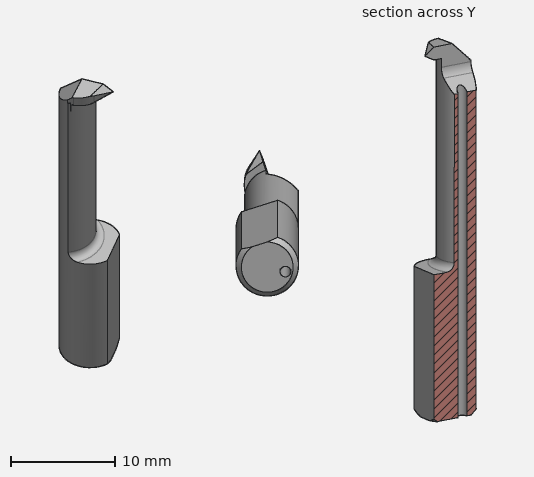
import cadquery as cq
import math

length = 37.0
shank_radius = 3.0
flat_x = 2.35
shank_length = 14.8
end_chamfer = 0.5

neck_radius = 2.95
neck_right_x = 0.45
neck_axis_x = neck_right_x - neck_radius
neck_fillet = 0.78
neck_top_z = 36.08

runout_back_y = 2.7
runout_back_z = 31.05
runout_angle = 50.0
runout_radius = 1.55

hole_x = -0.95
hole_y = 1.5
hole_radius = 0.5

slope_bottom_z = 34.95
slope_top_x = -0.8
nose_start_x = 1.35
tip_x = flat_x
tip_z = 36.25
head_bottom_z = 35.7
head_depth = 2.95
clearance_drop = 0.15
nose_setback = 1.07
nose_corner = (0.92, -1.63)
head_arc_middle = (-0.07, -2.33)
head_arc_end = (-0.8, -2.55)
head_edge_x = -1.4
tail_left_x = -1.45
tail_right_x = -1.07
tail_bottom_z = 35.0

cutter_size = 14.8
slope_ratio = (length - slope_bottom_z) / (slope_top_x + shank_radius)


def slope_x(z):
    """X of the sloped back of the head at height z."""
    return slope_top_x - (length - z) / slope_ratio


def make_shank():
    shank = cq.Workplane("XY").circle(shank_radius).extrude(shank_length)
    shank = shank.faces("<Z").chamfer(end_chamfer)
    flat = cq.Workplane("XY").box(cutter_size, cutter_size, shank_length, centered=(False, True, False))
    return shank.cut(flat.translate((flat_x, 0, 0)))


def make_neck_blank():
    root_radius = neck_radius + neck_fillet
    fillet_top_z = shank_length + neck_fillet
    fillet_middle = neck_fillet * (1 - math.sqrt(0.5))
    section = (
        cq.Workplane("XZ")
        .lineTo(root_radius, 0)
        .lineTo(root_radius, shank_length)
        .threePointArc(
            (neck_radius + fillet_middle, shank_length + fillet_middle),
            (neck_radius, fillet_top_z),
        )
        .lineTo(neck_radius, neck_top_z)
        .lineTo(0, neck_top_z)
        .close()
    )
    return section.revolve(360, (0, 0, 0), (0, 1, 0)).translate((neck_axis_x, 0, 0))


def make_runout_cutter():
    angle = math.radians(runout_angle)
    turn = math.pi / 2 - angle
    tangent_length = runout_radius * math.tan(turn / 2)
    corner_z = runout_back_z + runout_back_y * math.tan(angle)
    arc_start = (tangent_length * math.cos(angle), corner_z - tangent_length * math.sin(angle))
    arc_end = (0, corner_z + tangent_length)
    arc_middle = (
        runout_radius * (1 - math.cos(turn / 2)),
        arc_end[1] - runout_radius * math.sin(turn / 2),
    )
    outer_y = 2 * runout_back_y
    return (
        cq.Workplane("YZ")
        .moveTo(outer_y, runout_back_z)
        .lineTo(runout_back_y, runout_back_z)
        .lineTo(*arc_start)
        .threePointArc(arc_middle, arc_end)
        .lineTo(0, length)
        .lineTo(outer_y, length)
        .close()
        .extrude(cutter_size, both=True)
    )


def make_slope_cutter():
    low_z = slope_bottom_z - shank_radius
    return (
        cq.Workplane("XZ")
        .polyline([(slope_x(low_z), low_z), (slope_top_x, length), (slope_x(low_z), length)])
        .close()
        .extrude(cutter_size, both=True)
    )


def head_profile(drop, setback):
    """Side outline of the head, thinned by drop above and below, with the nose set back."""
    top_z = length - drop
    bottom_z = head_bottom_z + drop
    return [
        (-cutter_size / 2, bottom_z),
        (-cutter_size / 2, top_z),
        (nose_start_x - setback, top_z),
        (tip_x - setback, tip_z),
        (nose_start_x - setback, bottom_z),
    ]


def make_head_blank():
    """Head with its back left oversize, to be trimmed together with the neck."""
    edge_y = -math.sqrt(shank_radius**2 - head_edge_x**2)
    plan = (
        cq.Workplane("XY").workplane(offset=tail_bottom_z)
        .moveTo(-shank_radius, 0)
        .lineTo(tip_x, 0)
        .lineTo(*nose_corner)
        .threePointArc(head_arc_middle, head_arc_end)
        .lineTo(head_edge_x, edge_y)
        .lineTo(-shank_radius, -shank_radius)
        .close()
        .extrude(length - tail_bottom_z)
    )
    blade = (
        cq.Workplane("XZ")
        .polyline(head_profile(0, 0)).close()
        .workplane(offset=head_depth)
        .polyline(head_profile(clearance_drop, nose_setback)).close()
        .loft(ruled=True)
    )
    tail = (
        cq.Workplane("XY")
        .box(tail_right_x - tail_left_x, head_depth, neck_top_z - tail_bottom_z, centered=False)
        .translate((tail_left_x, -head_depth, tail_bottom_z))
    )
    return blade.union(tail).intersect(plan)


def make_upper_part():
    """Neck and head, trimmed to the shank circle and cut by both slopes."""
    envelope = (
        cq.Workplane("XY").workplane(offset=shank_length)
        .circle(shank_radius).extrude(length - shank_length)
    )
    upper = make_neck_blank().cut(make_runout_cutter()).union(make_head_blank())
    return upper.intersect(envelope).cut(make_slope_cutter())


coolant_hole = cq.Workplane("XY").center(hole_x, hole_y).circle(hole_radius).extrude(length)

result = make_shank().union(make_upper_part()).cut(coolant_hole)